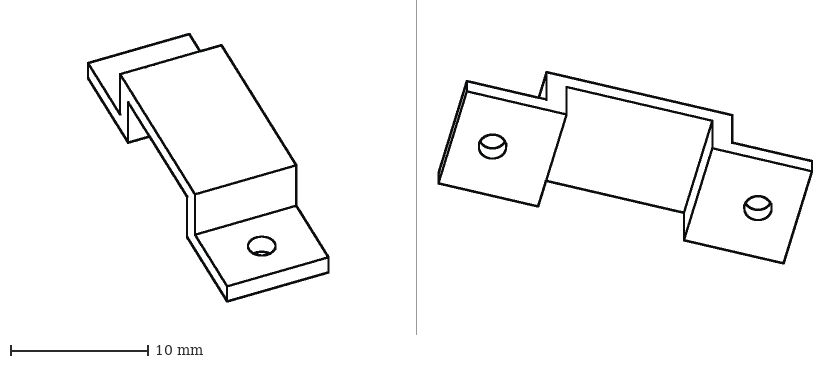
import cadquery as cq

length = 26.0
width = 8.0
height = 5.5

thickness = 1.5
foot_length = 6.0
hole_diameter = 2.0

end_x = length / 2
bridge_outer_x = end_x - foot_length
bridge_inner_x = bridge_outer_x - thickness
hole_x = end_x - foot_length / 2


def make_strip():
    """Hat-shaped profile extruded across the width, resting on Z = 0."""
    right_half = [
        (bridge_inner_x, height - thickness),
        (bridge_inner_x, 0),
        (end_x, 0),
        (end_x, thickness),
        (bridge_outer_x, thickness),
        (bridge_outer_x, height),
    ]
    left_half = [(-x, z) for x, z in reversed(right_half)]
    profile = cq.Workplane("XZ").polyline(right_half + left_half).close()
    return profile.extrude(width / 2, both=True)


def make_mounting_holes():
    """One vertical through-hole cutter centred on each foot."""
    centres = [(-hole_x, 0), (hole_x, 0)]
    return cq.Workplane("XY").pushPoints(centres).circle(hole_diameter / 2).extrude(thickness)


result = make_strip().cut(make_mounting_holes())